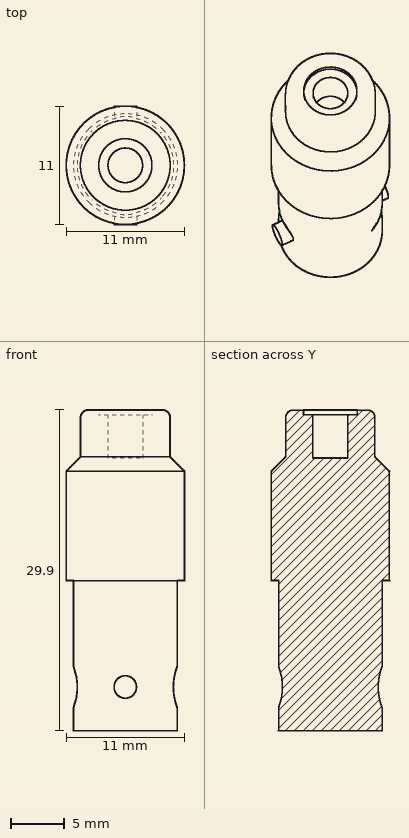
import cadquery as cq

total_height = 29.9
sleeve_diameter = 11.03
sleeve_radius = sleeve_diameter / 2
neck_radius = 4.2
body_radius = 4.85
waist_radius = 4.48
top_rounding = 0.75

groove_bottom = 2.15
groove_top = 6.0
sleeve_bottom = 14.0
shoulder_height = sleeve_radius - neck_radius
neck_bottom = 25.5
sleeve_top = neck_bottom - shoulder_height
groove_middle = (groove_bottom + groove_top) / 2

pin_radius = 1.05
pin_span = sleeve_diameter

recess_radius = 2.48
recess_depth = 0.45
bore_radius = 1.6
bore_depth = 4.48


def make_body():
    """Revolve the half outline, including the concave groove, about Z."""
    outline = (
        cq.Workplane("XZ")
        .moveTo(0, 0)
        .lineTo(body_radius, 0)
        .lineTo(body_radius, groove_bottom)
        .threePointArc((waist_radius, groove_middle), (body_radius, groove_top))
        .lineTo(body_radius, sleeve_bottom)
        .lineTo(sleeve_radius, sleeve_bottom)
        .lineTo(sleeve_radius, sleeve_top)
        .lineTo(neck_radius, neck_bottom)
        .lineTo(neck_radius, total_height)
        .lineTo(0, total_height)
        .close()
    )
    body = outline.revolve(360, (0, 0, 0), (0, 1, 0))
    return body.faces(">Z").edges().fillet(top_rounding)


def make_pins():
    """One cylinder along Y whose two ends stand out of the groove."""
    return (
        cq.Workplane("XZ")
        .center(0, groove_middle)
        .circle(pin_radius)
        .extrude(pin_span / 2, both=True)
    )


def blind_hole(radius, depth):
    """Cutter that reaches down from the top face."""
    return cq.Workplane("XY").workplane(offset=total_height - depth).circle(radius).extrude(depth)


result = (
    make_body()
    .union(make_pins())
    .cut(blind_hole(recess_radius, recess_depth))
    .cut(blind_hole(bore_radius, bore_depth))
)